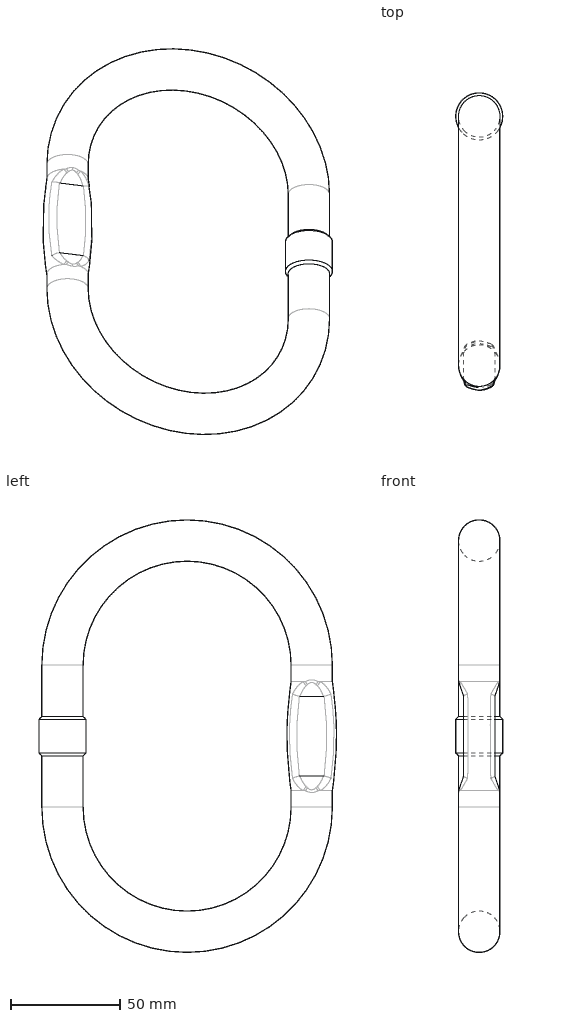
import cadquery as cq

bar_radius = 9.5
loop_height = 197.8
bend_radius = 57.0
straight_half = loop_height / 2 - bend_radius - bar_radius

collar_radius = 10.78
collar_length = 18.0
collar_chamfer = collar_radius - bar_radius

barrel_radius = 11.37
barrel_half_length = 25.0

flat_offset = 7.1
flat_half_length = 18.2
ramp_end = 25.1
flat_edge_fillet = 3.8


def open_loop():
    """Round bar swept around the loop, leaving out the -Y leg."""
    path = (
        cq.Workplane("YZ")
        .moveTo(-bend_radius, -straight_half)
        .threePointArc((0, -straight_half - bend_radius), (bend_radius, -straight_half))
        .lineTo(bend_radius, straight_half)
        .threePointArc((0, straight_half + bend_radius), (-bend_radius, straight_half))
    )
    start = cq.Workplane("XY").workplane(offset=-straight_half).center(0, -bend_radius)
    return start.circle(bar_radius).sweep(path)


def collar():
    """Short chamfered sleeve centred on the +Y leg."""
    return (
        cq.Workplane("XY")
        .workplane(offset=-collar_length / 2)
        .center(0, bend_radius)
        .circle(collar_radius)
        .extrude(collar_length)
        .faces("<Z or >Z")
        .chamfer(collar_chamfer)
    )


def barrel():
    """Straight leg that swells to a barrel in the middle."""
    return (
        cq.Workplane("XZ")
        .moveTo(0, -straight_half)
        .lineTo(bar_radius, -straight_half)
        .lineTo(bar_radius, -barrel_half_length)
        .threePointArc((barrel_radius, 0), (bar_radius, barrel_half_length))
        .lineTo(bar_radius, straight_half)
        .lineTo(0, straight_half)
        .close()
        .revolve(360, (0, 0, 0), (0, 1, 0))
    )


def flat_cutter(side):
    """Block whose inner face is the flat with a ramp at each end; side is +1 or -1 in X."""
    cutter_reach = 2 * barrel_radius
    ramp_slope = (bar_radius - flat_offset) / (ramp_end - flat_half_length)
    outer_half_length = flat_half_length + (cutter_reach - flat_offset) / ramp_slope
    return (
        cq.Workplane("XZ")
        .polyline([
            (side * flat_offset, -flat_half_length),
            (side * flat_offset, flat_half_length),
            (side * cutter_reach, outer_half_length),
            (side * cutter_reach, -outer_half_length),
        ])
        .close()
        .extrude(cutter_reach, both=True)
    )


def barrel_leg():
    """The -Y leg: barrel with both flats cut and their outer rims rounded."""
    body = barrel()
    for side in (1, -1):
        body = body.cut(flat_cutter(side))
    rim = body.faces("%PLANE").faces("not (<Z or >Z)").edges("not |Y")
    return rim.fillet(flat_edge_fillet).translate((0, -bend_radius, 0))


result = open_loop().union(collar()).union(barrel_leg())